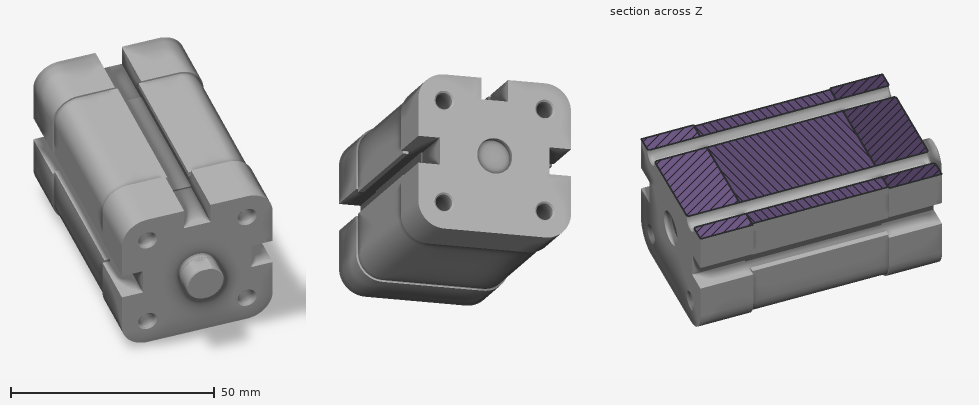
import cadquery as cq


TOTAL_LENGTH = 70.0
CAP_LENGTH = 14.0
BARREL_LENGTH = 36.05
BARREL_START = CAP_LENGTH
BARREL_END = BARREL_START + BARREL_LENGTH
FRONT_FACE = BARREL_END + CAP_LENGTH

CAP_WIDTH = 39.5
BARREL_WIDTH = 38.5
BOLT_OFFSET = 13.0
BOLT_HOLE_DIAMETER = 4.2
BOLT_CHAMFER = 0.4

SLOT_ANGLES = (0, 90, -90)
SLOT_WIDTH = 6.85
CAP_SLOT_FLOOR = 14.2
BARREL_SLOT_FLOOR = 14.6
SLOT_MOUTH_WIDTH = 5.5
SLOT_LIP_THICKNESS = 1.4

RECESS_DIAMETER = 9.0
RECESS_DEPTH = 2.0

ROD_DIAMETER = 9.95
COLLAR_LENGTH = 1.55
TIP_DIAMETER = 9.8
TIP_CHAMFER = 0.3
FLATS_WIDTH = 9.0
FLAT_RUNOUT = (ROD_DIAMETER - FLATS_WIDTH) / 2


def square_bar(start, length, width):
    """Bar along X with a square section and rounded long edges."""
    bar = cq.Workplane("YZ", origin=(start, 0, 0)).rect(width, width).extrude(length)
    return bar.edges("|X").fillet(width / 2 - BOLT_OFFSET)


def slot_cutter(start, length, width, bottom, top):
    """Box of the given width between two heights, repeated on each slotted side."""
    cutter = cq.Workplane("XY")
    for angle in SLOT_ANGLES:
        box = cq.Workplane("XY").box(length, width, top - bottom, centered=(False, True, False))
        cutter = cutter.add(box.translate((start, 0, bottom)).rotate((0, 0, 0), (1, 0, 0), angle))
    return cutter.combine()


def drill_bolt_holes(body, start, length):
    """Four corner holes through the whole length of a body."""
    spacing = 2 * BOLT_OFFSET
    holes = (
        cq.Workplane("YZ", origin=(start, 0, 0))
        .rect(spacing, spacing, forConstruction=True)
        .vertices()
        .circle(BOLT_HOLE_DIAMETER / 2)
        .extrude(length)
    )
    return body.cut(holes)


def make_cap(start, outer_face):
    """End cap with plain slots and bolt holes chamfered on the outer face ("<X" or ">X")."""
    cap = square_bar(start, CAP_LENGTH, CAP_WIDTH)
    cap = cap.cut(slot_cutter(start, CAP_LENGTH, SLOT_WIDTH, CAP_SLOT_FLOOR, CAP_WIDTH / 2))
    cap = drill_bolt_holes(cap, start, CAP_LENGTH)
    bolt_rims = cap.faces(outer_face).edges("%CIRCLE").edges(cq.selectors.RadiusNthSelector(0))
    return bolt_rims.chamfer(BOLT_CHAMFER)


def make_rear_cap():
    """Rear cap with a blind centring recess in its outer face."""
    recess = cq.Workplane("YZ").circle(RECESS_DIAMETER / 2).extrude(RECESS_DEPTH)
    return make_cap(0, "<X").cut(recess)


def make_front_cap():
    """Front cap bored through for the piston rod."""
    bore = cq.Workplane("YZ", origin=(BARREL_END, 0, 0)).circle(ROD_DIAMETER / 2).extrude(CAP_LENGTH)
    return make_cap(BARREL_END, ">X").cut(bore)


def make_barrel():
    """Profile barrel whose slots narrow to a lipped mouth."""
    barrel = square_bar(BARREL_START, BARREL_LENGTH, BARREL_WIDTH)
    outside = BARREL_WIDTH / 2
    lip_bottom = outside - SLOT_LIP_THICKNESS
    channel = slot_cutter(BARREL_START, BARREL_LENGTH, SLOT_WIDTH, BARREL_SLOT_FLOOR, lip_bottom)
    mouth = slot_cutter(BARREL_START, BARREL_LENGTH, SLOT_MOUTH_WIDTH, BARREL_SLOT_FLOOR, outside)
    return drill_bolt_holes(barrel.cut(channel).cut(mouth), BARREL_START, BARREL_LENGTH)


def make_rod():
    """Rod through the front cap, with a slimmer tip carrying two wrench flats."""
    tip_start = FRONT_FACE + COLLAR_LENGTH
    shank = (
        cq.Workplane("YZ", origin=(BARREL_END, 0, 0))
        .circle(ROD_DIAMETER / 2)
        .extrude(tip_start - BARREL_END)
    )
    tip = (
        cq.Workplane("YZ", origin=(tip_start, 0, 0))
        .circle(TIP_DIAMETER / 2)
        .extrude(TOTAL_LENGTH - tip_start)
        .faces(">X")
        .chamfer(TIP_CHAMFER)
    )
    flat = (
        cq.Workplane("XZ")
        .moveTo(tip_start, ROD_DIAMETER / 2)
        .lineTo(tip_start + FLAT_RUNOUT, FLATS_WIDTH / 2)
        .lineTo(TOTAL_LENGTH, FLATS_WIDTH / 2)
        .lineTo(TOTAL_LENGTH, ROD_DIAMETER / 2)
        .close()
        .extrude(ROD_DIAMETER / 2, both=True)
    )
    return shank.union(tip).cut(flat).cut(flat.mirror("XY"))


rear_cap = make_rear_cap()
barrel = make_barrel()
front_cap = make_front_cap()
rod = make_rod()

result = cq.Compound.makeCompound([rear_cap.val(), barrel.val(), front_cap.val(), rod.val()])